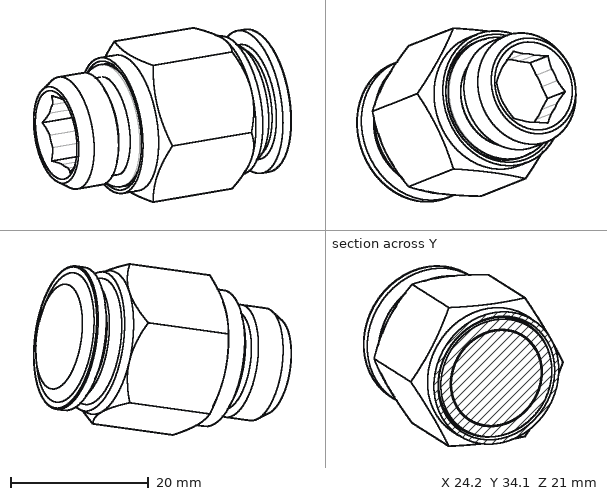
import cadquery as cq
import math

total_length = 34.1
hex_flats = 21.0
hex_corner_radius = hex_flats / math.sqrt(3)

thread_radius = 8.25
thread_tip_radius = 7.1
thread_chamfer_end = 1.9
thread_full_end = 5.9
neck_start = 6.5
neck_radius = 7.2

ring_outer_radius = 9.0
ring_embed = 0.05
ring_section_radius = (ring_outer_radius - neck_radius + ring_embed) / 2
ring_center_radius = ring_outer_radius - ring_section_radius
ring_center_y = 8.95
recess_floor_y = ring_center_y + ring_section_radius - ring_embed
recess_mouth_radius = 9.48
collar_radius = 10.0
collar_start = 9.0

body_start = 11.55
front_corner_y = 12.7
rear_corner_y = 25.65
body_end = 27.2
body_end_radius = 10.5

shoulder_step_y = 28.5
large_shoulder_radius = 10.2
small_shoulder_radius = 9.25
shoulder_end = 30.25
shoulder_end_radius = 8.73

sleeve_radius = 7.95
sleeve_flare_radius = 8.45
sleeve_flare_start = 31.2
flange_radius = 10.5
flange_start = 31.65
flange_edge_bevel = 0.17
flange_end = 33.1
flange_cone_radius = 9.48
rear_face_radius = 7.67
slot_width = 0.95
slot_height = 0.5

socket_flats = 10.0
socket_relief_radius = 5.08
socket_mouth_radius = 6.5
socket_depth = 5.9


def revolve_about_y(points):
    """Solid of revolution from a closed outline of (radius, y) points."""
    return cq.Workplane("XY").polyline(points).close().revolve(360, (0, 0, 0), (0, 1, 0))


def hex_prism(flats, start, end):
    """Hexagonal prism along Y, with flats facing +Z and -Z."""
    corner_diameter = 2 * flats / math.sqrt(3)
    plane = cq.Workplane("XZ", origin=(0, start, 0))
    return plane.polygon(6, corner_diameter).extrude(start - end)


def threaded_end():
    return revolve_about_y([
        (0, 0),
        (thread_tip_radius, 0),
        (thread_radius, thread_chamfer_end),
        (thread_radius, thread_full_end),
        (neck_radius, neck_start),
        (neck_radius, body_start),
        (0, body_start),
    ])


def sealing_ring():
    section = cq.Workplane("XY").center(ring_center_radius, ring_center_y).circle(ring_section_radius)
    return section.revolve(360, (-ring_center_radius, 0, 0), (-ring_center_radius, 1, 0))


def body_collar():
    return revolve_about_y([
        (0, recess_floor_y),
        (ring_outer_radius, recess_floor_y),
        (recess_mouth_radius, collar_start),
        (collar_radius, collar_start),
        (collar_radius, body_start),
        (0, body_start),
    ])


def hex_body():
    chamfer_envelope = revolve_about_y([
        (0, body_start),
        (collar_radius, body_start),
        (hex_corner_radius, front_corner_y),
        (hex_corner_radius, rear_corner_y),
        (body_end_radius, body_end),
        (0, body_end),
    ])
    return hex_prism(hex_flats, body_start, body_end).intersect(chamfer_envelope)


def rear_shoulders():
    return revolve_about_y([
        (0, body_end),
        (body_end_radius, body_end),
        (large_shoulder_radius, shoulder_step_y),
        (small_shoulder_radius, shoulder_step_y),
        (shoulder_end_radius, shoulder_end),
        (0, shoulder_end),
    ])


def release_collar():
    collar = revolve_about_y([
        (0, shoulder_end),
        (sleeve_radius, shoulder_end),
        (sleeve_radius, sleeve_flare_start),
        (sleeve_flare_radius, flange_start),
        (flange_radius, flange_start),
        (flange_radius, flange_end - flange_edge_bevel),
        (flange_radius - flange_edge_bevel, flange_end),
        (flange_cone_radius, flange_end),
        (rear_face_radius, total_length),
        (0, total_length),
    ])
    slot = cq.Workplane("XY").box(slot_width, slot_height, 2 * flange_radius)
    return collar.cut(slot.translate((0, shoulder_end + slot_height / 2, 0)))


def key_socket():
    relief = cq.Workplane("XZ").circle(socket_relief_radius).extrude(-socket_depth)
    lead_in = revolve_about_y([
        (0, 0),
        (socket_mouth_radius, 0),
        (socket_relief_radius, socket_mouth_radius - socket_relief_radius),
        (0, socket_mouth_radius - socket_relief_radius),
    ])
    return hex_prism(socket_flats, 0, socket_depth).union(relief).union(lead_in)


result = (
    threaded_end()
    .union(sealing_ring())
    .union(body_collar())
    .union(hex_body())
    .union(rear_shoulders())
    .union(release_collar())
    .cut(key_socket())
)